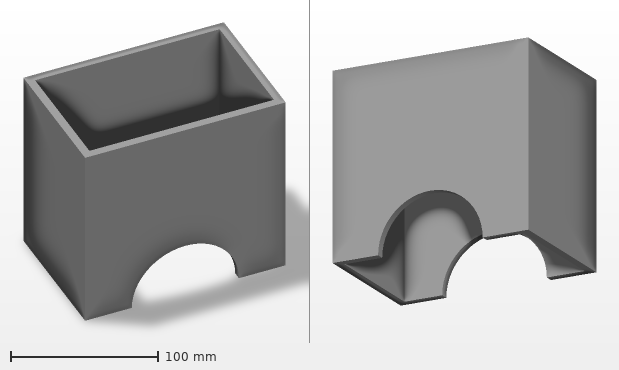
import cadquery as cq

width = 100.0
length = 150.0
height = 138.2
wall = 6.0

arch_radius = 40.0

outer = cq.Workplane("XY").rect(width, length).extrude(height)
cavity = cq.Workplane("XY").rect(width - 2 * wall, length - 2 * wall).extrude(height)

arch = cq.Workplane("YZ").circle(arch_radius).extrude(width / 2, both=True)

result = outer.cut(cavity).cut(arch)